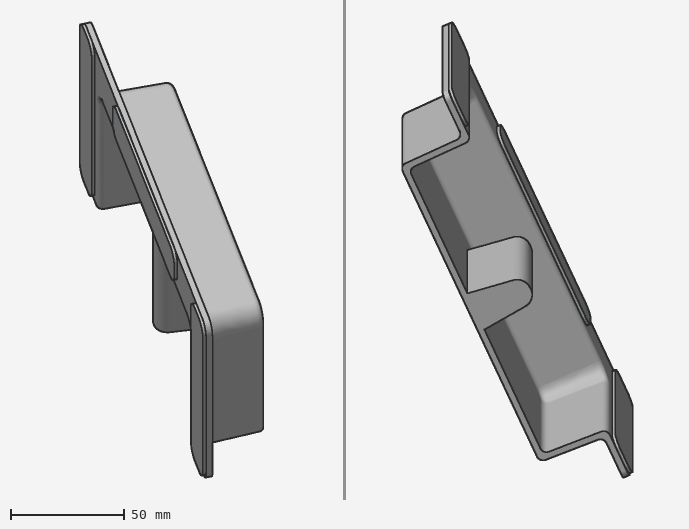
import cadquery as cq
import math


FLANGE_WIDTH = 196.8
FLANGE_HEIGHT = 98.0
FLANGE_TOP_RADIUS = 6.1
FLANGE_BOTTOM_RADIUS = 3.7
SHEET = 3.0

TOTAL_DEPTH = 35.0
CORNER_X = 66.5
CORNER_Z = 66.5
MOUTH_CORNER_RADIUS = 10.2
BACK_CORNER_RADIUS = 9.3
EDGE_RADIUS = 3.0

RIB_TOP_CENTRE_Z = 57.3
RIB_ROOT_RADIUS = 9.3
RIB_HEIGHT = 26.4
RIB_DRAFT = 7.0
RIB_NOSE_FILLET = 6.3

PAD_THICKNESS = 1.5
PAD_WIDTH = 19.3
PAD_RADIUS = 6.1
SIDE_PAD_LENGTH = 97.6
TOP_PAD_LENGTH = 98.5
TOP_PAD_X = 3.3
TOTAL_HEIGHT = 98.5

flange_front = PAD_THICKNESS
flange_back = flange_front + SHEET
floor_front = TOTAL_DEPTH - SHEET


def plane_at(y):
    """Plane at depth y with local X along +X, local Y along +Z and its normal along -Y."""
    return cq.Workplane("XZ", origin=(0, y, 0))


def arch(y, corner_radius):
    """Outline of the tray at depth y: open-ended arch with rounded upper corners."""
    half_width = CORNER_X + corner_radius
    top = CORNER_Z + corner_radius
    return (
        plane_at(y)
        .moveTo(-half_width, 0)
        .lineTo(-half_width, CORNER_Z)
        .radiusArc((-CORNER_X, top), corner_radius)
        .lineTo(CORNER_X, top)
        .radiusArc((half_width, CORNER_Z), corner_radius)
        .lineTo(half_width, 0)
        .close()
        .wire()
        .val()
    )


def drafted_block(front, front_radius, back, back_radius):
    wires = [arch(front, front_radius), arch(back, back_radius)]
    return cq.Workplane(cq.Solid.makeLoft(wires, True))


def tray_edges(body, y):
    """Arch-shaped tray edges of body at depth y, without any edge along the bottom."""
    slack = 0.02
    reach = MOUTH_CORNER_RADIUS + slack
    box = cq.selectors.BoxSelector(
        (-CORNER_X - reach, y - slack, slack),
        (CORNER_X + reach, y + slack, CORNER_Z + reach),
    )
    return body.edges(box)


def make_flange():
    slab = plane_at(flange_back).rect(FLANGE_WIDTH, FLANGE_HEIGHT).extrude(SHEET)
    slab = slab.translate((0, 0, FLANGE_HEIGHT / 2))
    slab = slab.edges("|Y and >Z").fillet(FLANGE_TOP_RADIUS)
    return slab.edges("|Y and <Z").fillet(FLANGE_BOTTOM_RADIUS)


def rib_half_section():
    """Half of the rib's horizontal section, from its centre line to the +X flank."""
    draft = math.radians(RIB_DRAFT)
    nose = floor_front - RIB_HEIGHT
    sharp_nose_x = RIB_ROOT_RADIUS - RIB_HEIGHT * math.tan(draft)
    setback = RIB_NOSE_FILLET * math.tan(math.pi / 4 - draft / 2)
    flank_end = (
        sharp_nose_x + setback * math.sin(draft),
        nose + setback * math.cos(draft),
    )
    return (
        cq.Workplane("XY")
        .moveTo(0, floor_front)
        .lineTo(RIB_ROOT_RADIUS, floor_front)
        .lineTo(*flank_end)
        .radiusArc((sharp_nose_x - setback, nose), RIB_NOSE_FILLET)
        .lineTo(0, nose)
        .close()
    )


def make_rib():
    half_wall = rib_half_section().extrude(RIB_TOP_CENTRE_Z)
    wall = half_wall.union(half_wall.mirror("YZ"))
    bullet = rib_half_section().revolve(360, (0, 0, 0), (0, 1, 0))
    return wall.union(bullet.translate((0, 0, RIB_TOP_CENTRE_Z)))


def make_housing():
    outer = drafted_block(flange_back, MOUTH_CORNER_RADIUS, TOTAL_DEPTH, BACK_CORNER_RADIUS)
    inner = drafted_block(
        flange_front, MOUTH_CORNER_RADIUS - SHEET, floor_front, BACK_CORNER_RADIUS - SHEET
    )
    outer = tray_edges(outer, TOTAL_DEPTH).fillet(EDGE_RADIUS)
    inner = tray_edges(inner, floor_front).fillet(EDGE_RADIUS)
    body = make_flange().union(outer)
    body = tray_edges(body, flange_back).fillet(EDGE_RADIUS)
    body = body.cut(inner)
    body = tray_edges(body, flange_front).fillet(EDGE_RADIUS)
    return body.union(make_rib())


def make_pad(width, height, x, z):
    pad = plane_at(PAD_THICKNESS).rect(width, height).extrude(PAD_THICKNESS)
    return pad.edges("|Y").fillet(PAD_RADIUS).translate((x, 0, z))


housing = make_housing()

side_pad_x = (FLANGE_WIDTH - PAD_WIDTH) / 2
side_pad_z = FLANGE_HEIGHT - SIDE_PAD_LENGTH / 2
pads = [make_pad(PAD_WIDTH, SIDE_PAD_LENGTH, side * side_pad_x, side_pad_z) for side in (-1, 1)]
pads.append(make_pad(TOP_PAD_LENGTH, PAD_WIDTH, TOP_PAD_X, TOTAL_HEIGHT - PAD_WIDTH / 2))

result = cq.Compound.makeCompound([housing.val(), *[pad.val() for pad in pads]])